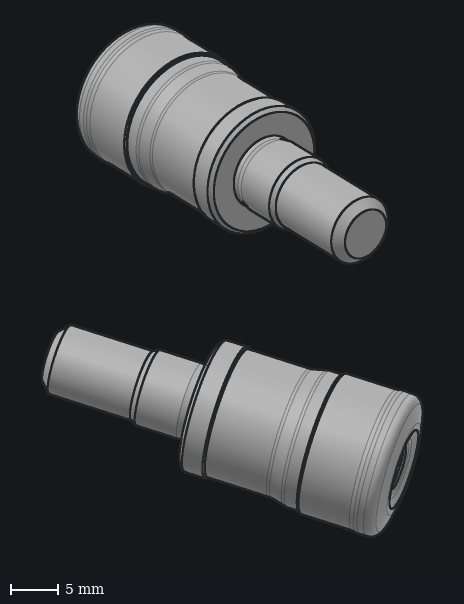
import cadquery as cq

length = 40.0

knob_d = 16.0
knob_skirt_d = 15.75
knob_rear_d = 15.5
rim_outer_d = 10.3
face_outer_d = 14.3
face_depth = 0.5
shoulder_mid_x = 0.9
shoulder_mid_d = 15.5
shoulder_end = 1.65
shoulder_end_d = 15.9
crown_x = 2.35
band_end = 2.8
band_end_d = 15.95
skirt_start = 3.3
knob_end = 9.3
rear_bevel = 0.25

rim_inner_d = 8.8
dish_d = 6.65
dish_depth = 0.35
throat_d = 5.7
throat_depth = 0.5
bore_mouth_d = 4.9
bore_d = 4.7
bore_depth = 0.65

spigot_d = bore_d
spigot_start = 0.9
collar_d = 15.3
collar_end = 10.75
collar_round_end = 11.1
collar_round_d = 15.1
taper_end = 12.55
taper_end_d = 14.45
sleeve_d = 14.35
sleeve_start = 12.9
flange_d = 14.75
flange_start = 20.1
flange_bevel_x = 19.9
flange_end = 22.9
flange_chamfer = 0.5
neck_d = 8.1
neck_root_d = 8.3
neck_root_mid_x = 23.1
neck_root_mid_d = 8.15
neck_end = 23.5
shank_d = 8.5
shank_start = 24.25
shank_end = 28.95
stud_d = 7.75
stud_start = 29.65
stud_chamfer = 1.05


def turned(outline):
    """Revolve a closed half-outline, drawn as (x, radius), about the X axis."""
    return outline.close().revolve(360, (0, 0, 0), (1, 0, 0))


def make_knob():
    """Knob with a round shoulder and a bore that takes the core's spigot."""
    outline = (
        cq.Workplane("XY")
        .moveTo(0, rim_outer_d / 2)
        .lineTo(face_depth, face_outer_d / 2)
        .threePointArc((shoulder_mid_x, shoulder_mid_d / 2), (shoulder_end, shoulder_end_d / 2))
        .lineTo(crown_x, knob_d / 2)
        .lineTo(band_end, band_end_d / 2)
        .lineTo(skirt_start, knob_skirt_d / 2)
        .lineTo(knob_end - rear_bevel, knob_skirt_d / 2)
        .lineTo(knob_end, knob_rear_d / 2)
        .lineTo(knob_end, bore_d / 2)
        .lineTo(spigot_start, bore_d / 2)
        .lineTo(bore_depth, bore_mouth_d / 2)
        .lineTo(throat_depth, throat_d / 2)
        .lineTo(dish_depth, dish_d / 2)
        .lineTo(0, rim_inner_d / 2)
    )
    return turned(outline)


def make_core():
    """Stepped core: spigot, collar, tapered sleeve, flange, neck, shank and stud."""
    outline = (
        cq.Workplane("XY")
        .moveTo(spigot_start, 0)
        .lineTo(spigot_start, spigot_d / 2)
        .lineTo(knob_end, spigot_d / 2)
        .lineTo(knob_end, collar_d / 2)
        .lineTo(collar_end, collar_d / 2)
        .lineTo(collar_round_end, collar_round_d / 2)
        .lineTo(taper_end, taper_end_d / 2)
        .lineTo(sleeve_start, sleeve_d / 2)
        .lineTo(flange_bevel_x, sleeve_d / 2)
        .lineTo(flange_start, flange_d / 2)
        .lineTo(flange_end - flange_chamfer, flange_d / 2)
        .lineTo(flange_end, flange_d / 2 - flange_chamfer)
        .lineTo(flange_end, neck_root_d / 2)
        .threePointArc((neck_root_mid_x, neck_root_mid_d / 2), (neck_end, neck_d / 2))
        .lineTo(shank_start, shank_d / 2)
        .lineTo(shank_end, shank_d / 2)
        .lineTo(stud_start, stud_d / 2)
        .lineTo(length - stud_chamfer, stud_d / 2)
        .lineTo(length, stud_d / 2 - stud_chamfer)
        .lineTo(length, 0)
    )
    return turned(outline)


knob = make_knob()
core = make_core()

result = cq.Compound.makeCompound([knob.val(), core.val()])